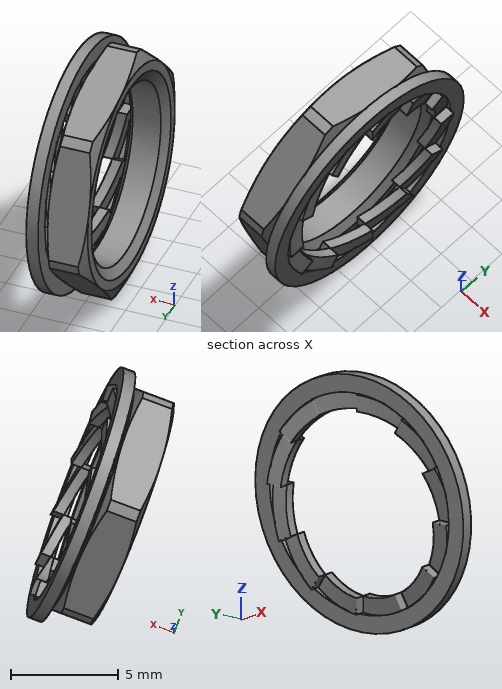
import cadquery as cq
import math

bore_radius = 4.5
nut_thickness = 2.0
across_flats = 11.0
corner_radius = 6.2
corner_angle = 15.0
corner_chamfer_depth = 0.26
bore_chamfer_width = 0.52
bore_chamfer_depth = 0.3

washer_radius = 6.22
washer_thickness = 0.6
tooth_tip_radius = 4.55
tooth_root_radius = 5.35
tooth_count = 12
tooth_rise = 0.2
tooth_thickness = 0.51

band_start = nut_thickness
band_length = washer_thickness + 2 * tooth_rise
washer_start = band_start + tooth_rise
tooth_pitch = 360 / tooth_count
section_overshoot = 0.5


def disc(radius, start, length):
    """Solid cylinder about the X axis."""
    return cq.Workplane("YZ", origin=(start, 0, 0)).circle(radius).extrude(length)


def turned(profile):
    """Solid of revolution about the X axis from (X, radius) points."""
    return cq.Workplane("XY").polyline(profile).close().revolve(360, (0, 0, 0), (1, 0, 0))


def make_nut():
    hexagon = (
        cq.Workplane("YZ")
        .polygon(6, across_flats, circumscribed=True)
        .extrude(nut_thickness)
        .rotate((0, 0, 0), (1, 0, 0), corner_angle)
    )
    face_radius = across_flats / 2
    bore_mouth_radius = bore_radius + bore_chamfer_width
    blank = turned([
        (0, bore_mouth_radius),
        (0, face_radius),
        (corner_chamfer_depth, corner_radius),
        (nut_thickness - corner_chamfer_depth, corner_radius),
        (nut_thickness, face_radius),
        (nut_thickness, bore_mouth_radius),
        (nut_thickness - bore_chamfer_depth, bore_radius),
        (bore_chamfer_depth, bore_radius),
    ])
    return hexagon.intersect(blank)


def radial_section(angle, start):
    """Rectangle in the radial plane at the given angle, overshooting the tooth on both sides."""
    inner = tooth_tip_radius - section_overshoot
    outer = tooth_root_radius + section_overshoot
    end = start + tooth_thickness
    direction_y = math.cos(math.radians(angle))
    direction_z = math.sin(math.radians(angle))
    corners = [(start, inner), (start, outer), (end, outer), (end, inner)]
    return cq.Wire.makePolygon(
        [cq.Vector(x, r * direction_y, r * direction_z) for x, r in corners],
        close=True,
    )


def make_twisted_tooth(tooth_band, index):
    """Tooth climbing from the front of the band to its back over its share of the circle."""
    start_angle = index * tooth_pitch
    low = radial_section(start_angle, band_start)
    high = radial_section(start_angle + tooth_pitch, band_start + band_length - tooth_thickness)
    sector = cq.Workplane(cq.Solid.makeLoft([low, high], True))
    return sector.intersect(tooth_band)


def make_washer():
    washer = disc(washer_radius, washer_start, washer_thickness).cut(
        disc(tooth_root_radius, washer_start, washer_thickness)
    )
    tooth_band = disc(tooth_root_radius, band_start, band_length).cut(
        disc(tooth_tip_radius, band_start, band_length)
    )
    for index in range(tooth_count):
        washer = washer.union(make_twisted_tooth(tooth_band, index))
    return washer


nut = make_nut()
washer = make_washer()

result = cq.Compound.makeCompound([nut.solids().val(), washer.solids().val()])